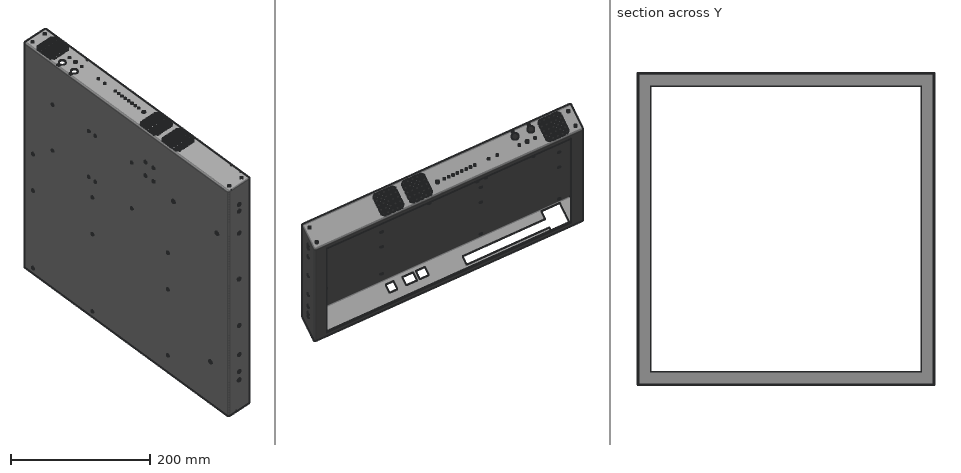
import cadquery as cq

WIDTH = 428.0
DEPTH = 43.5
HEIGHT = 450.0
SHEET = 2.0
FOLD_RADIUS = 2.48
CORNER_RADIUS = 1.5
REAR_RIM = 20.0
CUT = 4 * SHEET

FRONT_Y = -DEPTH / 2
BACK_Y = DEPTH / 2
TOP_Z = HEIGHT / 2
SIDE_X = WIDTH / 2

GRILLE_CENTERS = [-176.5, 40.5, 86.0]
GRILLE_COUNT = 5
GRILLE_SPAN = 30.0
GRILLE_PITCH = GRILLE_SPAN / (GRILLE_COUNT - 1)
GRILLE_HOLE = 5.5
GRILLE_RADIUS = 22.5

INDICATOR_Y = 4.0
INDICATOR_DIAMETER = 3.0
INDICATOR_ROW_START = -49.5
INDICATOR_ROW_SPAN = 48.5
INDICATOR_ROW_COUNT = 8
INDICATOR_PITCH = INDICATOR_ROW_SPAN / (INDICATOR_ROW_COUNT - 1)
SINGLE_INDICATORS = [-145.5, -120.0, -85.0, -71.5]
SWITCH_DIAMETER = 5.0
SWITCHES = [-132.8, 10.0]
TOP_SCREW_DIAMETER = 4.0
TOP_SCREW_X = 205.5
TOP_SCREW_Y = 12.0

KEYHOLE_CENTERS = [-145.5, -120.0]
KEYHOLE_Y = -10.5
KEYHOLE_DIAMETER = 10.5
KEYHOLE_SLOT_WIDTH = 3.0
KEYHOLE_END_Y = FRONT_Y + FOLD_RADIUS

CARD_DIAMETER = 4.0
CARD_COLUMNS = [-154.0, -78.5, -65.0, 11.5]
CARD_ROWS = [50.5, 141.8]
STANDOFF_DIAMETER = 4.5
STANDOFF_COLUMNS = [-195.0, -70.5]
STANDOFF_ROWS = [15.0, -58.0, -212.5]
RIGHT_STANDOFF_X = 87.5
RIGHT_STANDOFF_ROWS = [15.0, -58.0, -190.0]
RELAY_COLUMNS = [40.5, 57.0]
RELAY_ROWS = [136.0, 163.0]
LARGE_DIAMETER = 6.0
LARGE_HOLES = [(99.0, 125.0), (190.0, 125.0), (176.5, -140.5)]

SIDE_DIAMETER = 5.5
SIDE_HOLES = [185.0, 171.5, 128.0, 36.0, -56.2, -114.5, -148.0, -164.5]

BOTTOM_OPENINGS = [
    (-194.5, -165.0, -17.0, 17.0),
    (-165.5, -33.8, -4.0, 10.0),
    (22.0, 36.5, -12.5, 1.0),
    (41.0, 58.0, -12.5, 1.0),
    (72.0, 84.5, -12.5, 1.0),
]


def make_shell():
    """Hollow box with rounded folds and a framed opening in the back."""
    outer = (
        cq.Workplane("XY")
        .box(WIDTH, DEPTH, HEIGHT)
        .edges("|Y").fillet(CORNER_RADIUS)
        .faces("<Y or >Y").edges().fillet(FOLD_RADIUS)
    )
    cavity = cq.Workplane("XY").box(WIDTH - 2 * SHEET, DEPTH - 2 * SHEET, HEIGHT - 2 * SHEET)
    cavity = cavity.faces("<Y or >Y").edges().fillet(FOLD_RADIUS - SHEET)
    opening = (
        cq.Workplane("XY")
        .box(WIDTH - 2 * REAR_RIM, CUT, HEIGHT - 2 * REAR_RIM)
        .translate((0, BACK_Y, 0))
    )
    return outer.cut(cavity).cut(opening)


def grid(columns, rows):
    """All points where the columns cross the rows."""
    return [(x, z) for x in columns for z in rows]


def top_plane():
    """Sketch plane below the top wall; cutters extrude upwards through it."""
    return cq.Workplane("XY", origin=(0, 0, TOP_Z - CUT / 2))


def top_holes(points, diameter):
    return top_plane().pushPoints(points).circle(diameter / 2).extrude(CUT)


def front_holes(points, diameter):
    plane = cq.Workplane("XZ", origin=(0, FRONT_Y + CUT / 2, 0))
    return plane.pushPoints(points).circle(diameter / 2).extrude(CUT)


def grille(center_x):
    """Square grid of square holes, its corners trimmed by a circle."""
    holes = (
        top_plane().center(center_x, 0)
        .rarray(GRILLE_PITCH, GRILLE_PITCH, GRILLE_COUNT, GRILLE_COUNT)
        .rect(GRILLE_HOLE, GRILLE_HOLE).extrude(CUT)
    )
    return holes.intersect(top_holes([(center_x, 0)], 2 * GRILLE_RADIUS))


def keyhole(center_x):
    """Round opening with a narrow slot running towards the front fold."""
    length = KEYHOLE_Y - KEYHOLE_END_Y
    slot = (
        top_plane()
        .center(center_x, KEYHOLE_END_Y + length / 2)
        .rect(KEYHOLE_SLOT_WIDTH, length)
        .extrude(CUT)
    )
    return top_holes([(center_x, KEYHOLE_Y)], KEYHOLE_DIAMETER).union(slot)


def bottom_opening(x_from, x_to, y_from, y_to):
    return (
        cq.Workplane("XY", origin=(0, 0, -TOP_Z - CUT / 2))
        .center((x_from + x_to) / 2, (y_from + y_to) / 2)
        .rect(x_to - x_from, y_to - y_from)
        .extrude(CUT)
    )


result = make_shell()

for x in GRILLE_CENTERS:
    result = result.cut(grille(x))
for x in KEYHOLE_CENTERS:
    result = result.cut(keyhole(x))
indicator_row = [INDICATOR_ROW_START + i * INDICATOR_PITCH for i in range(INDICATOR_ROW_COUNT)]
indicators = grid(SINGLE_INDICATORS + indicator_row, [INDICATOR_Y])
result = result.cut(top_holes(indicators, INDICATOR_DIAMETER))
result = result.cut(top_holes(grid(SWITCHES, [INDICATOR_Y]), SWITCH_DIAMETER))
top_screws = grid([-TOP_SCREW_X, TOP_SCREW_X], [-TOP_SCREW_Y, TOP_SCREW_Y])
result = result.cut(top_holes(top_screws, TOP_SCREW_DIAMETER))

standoffs = grid(STANDOFF_COLUMNS, STANDOFF_ROWS) + grid([RIGHT_STANDOFF_X], RIGHT_STANDOFF_ROWS)
relay = grid(RELAY_COLUMNS, RELAY_ROWS)
result = result.cut(front_holes(grid(CARD_COLUMNS, CARD_ROWS), CARD_DIAMETER))
result = result.cut(front_holes(standoffs + relay, STANDOFF_DIAMETER))
result = result.cut(front_holes(LARGE_HOLES, LARGE_DIAMETER))

side_points = [(0, z) for z in SIDE_HOLES]
side_plane = cq.Workplane("YZ", origin=(-SIDE_X - SHEET, 0, 0))
side_drills = side_plane.pushPoints(side_points).circle(SIDE_DIAMETER / 2).extrude(WIDTH + 2 * SHEET)
result = result.cut(side_drills)

for limits in BOTTOM_OPENINGS:
    result = result.cut(bottom_opening(*limits))